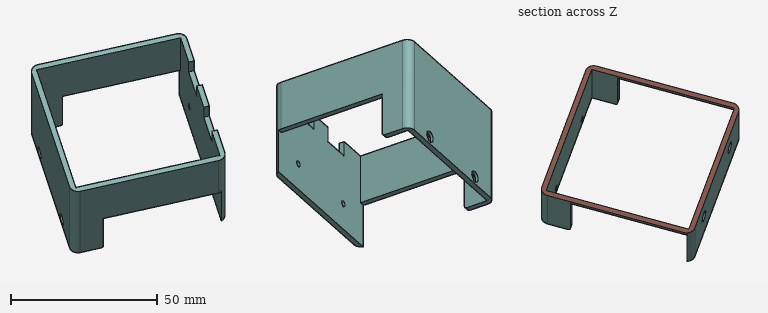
import cadquery as cq

side = 55.0
height = 36.3
wall = 2.0
corner_radius = 3.0

opening_height = 17.1
front_leg_depth = 11.2
leg_corner_radius = 1.0

notch_width = 10.4
notch_depth = 5.9
tab_width = 9.2

hole_diameter = 2.1
hole_spacing = 29.0
counterbore_diameter = 4.0
counterbore_depth = 1.0
front_hole_height = 3.0
back_hole_height = 10.5

half_side = side / 2
inner_half = half_side - wall
leg_back = -half_side + front_leg_depth
notch_offset = (tab_width + notch_width) / 2
hole_offset = hole_spacing / 2


def make_frame():
    """Square tube with rounded outer corners and sharp inner corners."""
    outer = cq.Workplane("XY").rect(side, side).extrude(height).edges("|Z").fillet(corner_radius)
    inner = cq.Workplane("XY").rect(2 * inner_half, 2 * inner_half).extrude(height)
    return outer.cut(inner)


def make_side_opening():
    """Block that opens both X walls between the front legs and the back wall."""
    return (
        cq.Workplane("XY")
        .box(side, inner_half - leg_back, opening_height, centered=(True, False, False))
        .translate((0, leg_back, 0))
    )


def round_leg_corners(body):
    """Round the lower rear corner of both front legs."""
    for x_sign in (-1, 1):
        corner = cq.selectors.NearestToPointSelector((x_sign * (half_side - wall / 2), leg_back, 0))
        body = body.edges("|X").edges(corner).fillet(leg_corner_radius)
    return body


def make_back_notch(x_center):
    """Block for one notch in the top edge of the back wall."""
    return (
        cq.Workplane("XY")
        .box(notch_width, wall, notch_depth, centered=(True, False, False))
        .translate((x_center, inner_half, height - notch_depth))
    )


def make_screw_hole(x, outer_y, z, inward):
    """Through hole in a Y wall with its counterbore on the outer face.

    inward is +1 or -1, the Y direction from the outer face into the wall.
    """
    plane = cq.Plane(origin=(x, outer_y, z), xDir=(1, 0, 0), normal=(0, inward, 0))
    through_hole = cq.Workplane(plane).circle(hole_diameter / 2).extrude(wall)
    counterbore = cq.Workplane(plane).circle(counterbore_diameter / 2).extrude(counterbore_depth)
    return through_hole.union(counterbore)


result = round_leg_corners(make_frame().cut(make_side_opening()))

for x_sign in (-1, 1):
    hole_x = x_sign * hole_offset
    result = result.cut(make_back_notch(x_sign * notch_offset))
    result = result.cut(make_screw_hole(hole_x, -half_side, front_hole_height, 1))
    result = result.cut(make_screw_hole(hole_x, half_side, back_hole_height, -1))